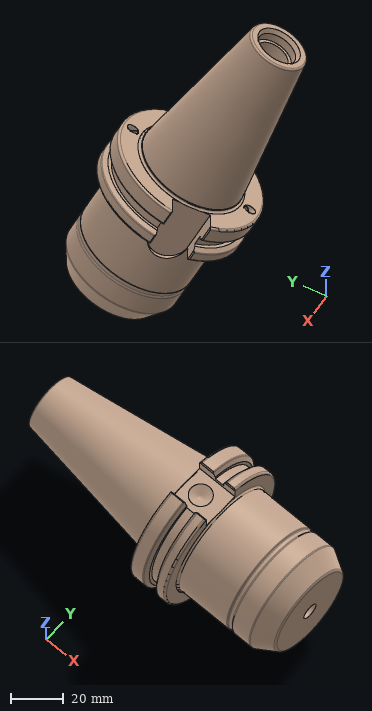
import cadquery as cq
import math

TOTAL_LENGTH = 132.75
TAPER_LENGTH = 68.25
FLANGE_START = 69.25
FLANGE_END = 87.2

GAUGE_RADIUS = 44.45 / 2
TAPER_RATIO = 7 / 24
SMALL_END_RADIUS = GAUGE_RADIUS - TAPER_LENGTH * TAPER_RATIO / 2
SMALL_END_ROUNDING = 0.8
NECK_RADIUS = 43.8 / 2
UNDERCUT_RADIUS = 0.75
UNDERCUT_X = FLANGE_START - 0.45
UNDERCUT_CENTRE_RADIUS = NECK_RADIUS + UNDERCUT_RADIUS

FLANGE_RADIUS = 63.5 / 2
FLANGE_EDGE_FILLET = 0.9
V_GROOVE_CENTRE = 79.35
V_GROOVE_TOP_WIDTH = 6.7
V_GROOVE_FLOOR_WIDTH = 4.2
V_GROOVE_FLOOR_RADIUS = 56.25 / 2
V_RIM_FILLET = 0.5
V_FLANK_ANGLE = 30
V_FLANK_DEPTH = (V_GROOVE_TOP_WIDTH - V_GROOVE_FLOOR_WIDTH) / 2 / math.tan(math.radians(V_FLANK_ANGLE))

BODY_RADIUS = 49.25 / 2
BODY_FILLET = 0.85
RING_GROOVE_RADIUS = 48.25 / 2
RING_GROOVE_CENTRE = 113.75
RING_GROOVE_WIDTH = 3.0
RING_GROOVE_FLANK = 0.75
RING_GROOVE_DEPTH = BODY_RADIUS - RING_GROOVE_RADIUS
RING_GROOVE_ROUNDING = (RING_GROOVE_FLANK**2 + RING_GROOVE_DEPTH**2) / (4 * RING_GROOVE_DEPTH)
NOSE_START = 123.9
NOSE_ANGLE = 30
NOSE_EDGE_ROUNDING = 1.0
NOSE_ROUNDING = 1.2
NOSE_END_RADIUS = BODY_RADIUS - (TOTAL_LENGTH - NOSE_START) * math.tan(math.radians(NOSE_ANGLE))

SLOT_WIDTH = 16.3
UPPER_SLOT_FLOOR = 25.0
LOWER_SLOT_FLOOR = 22.8
SLOT_EDGE_BREAK = 0.5
SLOT_EDGE_HEIGHT = math.sqrt(FLANGE_RADIUS**2 - (SLOT_WIDTH / 2 + SLOT_EDGE_BREAK) ** 2)
SLOT_FLARE_START = SLOT_EDGE_HEIGHT - SLOT_EDGE_BREAK
DIMPLE_DIAMETER = 9.53
DIMPLE_POINT_ANGLE = 118
DIMPLE_X = 77.1

BORE_MOUTH_RADIUS = 18.4 / 2
COUNTERBORE_RADIUS = 16.3 / 2
MOUTH_ANGLE = 30
MOUTH_DEPTH = (BORE_MOUTH_RADIUS - COUNTERBORE_RADIUS) / math.tan(math.radians(MOUTH_ANGLE))
COUNTERBORE_DEPTH = 5.2
BORE_RADIUS = 13.39 / 2
THROUGH_RADIUS = 6.92 / 2
BORE_CONE_ANGLE = 59

PASSAGE_ENTRY_RADIUS = 27.0
PASSAGE_EXIT_RADIUS = 5.4
PASSAGE_TILT = 35
PASSAGE_ROLL = 20
PASSAGE_RADIUS = 3.24 / 2
PASSAGE_MOUTH_RADIUS = 4.0 / 2
PASSAGE_MOUTH_DEPTH = 1.65
PASSAGE_OVERRUN = 5.0
PASSAGE_RUN = (PASSAGE_ENTRY_RADIUS - PASSAGE_EXIT_RADIUS) / math.tan(math.radians(PASSAGE_TILT))
PASSAGE_EXIT_X = FLANGE_START + PASSAGE_RUN

CONE_SLOPE = math.tan(math.radians(BORE_CONE_ANGLE))
BORE_CONE_START = PASSAGE_EXIT_X - (BORE_RADIUS - PASSAGE_EXIT_RADIUS) / CONE_SLOPE
BORE_CONE_END = BORE_CONE_START + (BORE_RADIUS - THROUGH_RADIUS) / CONE_SLOPE


def revolve_about_x(profile):
    return profile.close().revolve(360, (0, 0, 0), (1, 0, 0))


def make_taper():
    taper = revolve_about_x(
        cq.Workplane("XY")
        .lineTo(0, SMALL_END_RADIUS)
        .lineTo(TAPER_LENGTH, GAUGE_RADIUS)
        .lineTo(TAPER_LENGTH, NECK_RADIUS)
        .lineTo(UNDERCUT_X, NECK_RADIUS)
        .radiusArc((UNDERCUT_X + UNDERCUT_RADIUS, UNDERCUT_CENTRE_RADIUS), -UNDERCUT_RADIUS)
        .lineTo(UNDERCUT_X + UNDERCUT_RADIUS, 0)
    )
    return taper.faces("<X").edges().fillet(SMALL_END_ROUNDING)


def make_flange():
    flange = (
        cq.Workplane("YZ", origin=(FLANGE_START, 0, 0))
        .circle(FLANGE_RADIUS)
        .extrude(FLANGE_END - FLANGE_START)
        .edges()
        .fillet(FLANGE_EDGE_FILLET)
    )
    half_top = V_GROOVE_TOP_WIDTH / 2
    half_floor = V_GROOVE_FLOOR_WIDTH / 2
    v_groove = revolve_about_x(
        cq.Workplane("XY")
        .moveTo(V_GROOVE_CENTRE - half_top, FLANGE_RADIUS)
        .lineTo(V_GROOVE_CENTRE - half_floor, FLANGE_RADIUS - V_FLANK_DEPTH)
        .lineTo(V_GROOVE_CENTRE - half_floor, V_GROOVE_FLOOR_RADIUS)
        .lineTo(V_GROOVE_CENTRE + half_floor, V_GROOVE_FLOOR_RADIUS)
        .lineTo(V_GROOVE_CENTRE + half_floor, FLANGE_RADIUS - V_FLANK_DEPTH)
        .lineTo(V_GROOVE_CENTRE + half_top, FLANGE_RADIUS)
    )
    flange = flange.cut(v_groove)
    for side in (-1, 1):
        rim_point = (V_GROOVE_CENTRE + side * half_top, 0, 0)
        rim_edge = cq.selectors.NearestToPointSelector(rim_point)
        flange = flange.edges("%CIRCLE").edges(rim_edge).fillet(V_RIM_FILLET)

    undercut = (
        cq.Workplane("XY")
        .center(UNDERCUT_X, UNDERCUT_CENTRE_RADIUS)
        .circle(UNDERCUT_RADIUS)
        .revolve(360, (0, -UNDERCUT_CENTRE_RADIUS, 0), (1, -UNDERCUT_CENTRE_RADIUS, 0))
    )
    return flange.cut(undercut)


def make_body():
    half_top = RING_GROOVE_WIDTH / 2
    half_floor = half_top - RING_GROOVE_FLANK
    mid_flank = half_top - RING_GROOVE_FLANK / 2
    mid_radius = (BODY_RADIUS + RING_GROOVE_RADIUS) / 2
    body = revolve_about_x(
        cq.Workplane("XY")
        .moveTo(FLANGE_START, 0)
        .lineTo(FLANGE_START, NECK_RADIUS)
        .lineTo(FLANGE_END, NECK_RADIUS)
        .lineTo(FLANGE_END, BODY_RADIUS + BODY_FILLET)
        .radiusArc((FLANGE_END + BODY_FILLET, BODY_RADIUS), -BODY_FILLET)
        .lineTo(RING_GROOVE_CENTRE - half_top, BODY_RADIUS)
        .radiusArc((RING_GROOVE_CENTRE - mid_flank, mid_radius), RING_GROOVE_ROUNDING)
        .radiusArc((RING_GROOVE_CENTRE - half_floor, RING_GROOVE_RADIUS), -RING_GROOVE_ROUNDING)
        .lineTo(RING_GROOVE_CENTRE + half_floor, RING_GROOVE_RADIUS)
        .radiusArc((RING_GROOVE_CENTRE + mid_flank, mid_radius), -RING_GROOVE_ROUNDING)
        .radiusArc((RING_GROOVE_CENTRE + half_top, BODY_RADIUS), RING_GROOVE_ROUNDING)
        .lineTo(NOSE_START, BODY_RADIUS)
        .lineTo(TOTAL_LENGTH, NOSE_END_RADIUS)
        .lineTo(TOTAL_LENGTH, 0)
    )
    body = body.faces(">X").edges().fillet(NOSE_ROUNDING)
    nose_edge = cq.selectors.NearestToPointSelector((NOSE_START, 0, 0))
    return body.edges("%CIRCLE").edges(nose_edge).fillet(NOSE_EDGE_ROUNDING)


def make_drive_slot(floor_height, side):
    """Round-ended slot with 45 degree edge breaks, side +1 for the top and -1 for the bottom."""
    half_width = SLOT_WIDTH / 2
    flare = FLANGE_RADIUS - SLOT_FLARE_START
    channel = (
        cq.Workplane("YZ", origin=(FLANGE_START, 0, 0))
        .moveTo(-half_width, side * floor_height)
        .lineTo(-half_width, side * SLOT_FLARE_START)
        .lineTo(-half_width - flare, side * FLANGE_RADIUS)
        .lineTo(half_width + flare, side * FLANGE_RADIUS)
        .lineTo(half_width, side * SLOT_FLARE_START)
        .lineTo(half_width, side * floor_height)
        .close()
        .extrude(FLANGE_END - FLANGE_START)
    )
    rounded_end = (
        cq.Workplane("XY", origin=(FLANGE_END, 0, side * floor_height))
        .circle(half_width)
        .extrude(side * (FLANGE_RADIUS - floor_height))
    )
    return channel.union(rounded_end)


def make_dimple():
    radius = DIMPLE_DIAMETER / 2
    depth = radius / math.tan(math.radians(DIMPLE_POINT_ANGLE / 2))
    cone = cq.Solid.makeCone(
        radius, 0, depth, cq.Vector(DIMPLE_X, 0, UPPER_SLOT_FLOOR), cq.Vector(0, 0, -1)
    )
    return cq.Workplane(cone)


def make_bore():
    return revolve_about_x(
        cq.Workplane("XY")
        .lineTo(0, BORE_MOUTH_RADIUS)
        .lineTo(MOUTH_DEPTH, COUNTERBORE_RADIUS)
        .lineTo(COUNTERBORE_DEPTH, COUNTERBORE_RADIUS)
        .lineTo(COUNTERBORE_DEPTH, BORE_RADIUS)
        .lineTo(BORE_CONE_START, BORE_RADIUS)
        .lineTo(BORE_CONE_END, THROUGH_RADIUS)
        .lineTo(TOTAL_LENGTH, THROUGH_RADIUS)
        .lineTo(TOTAL_LENGTH, 0)
    )


def make_coolant_passage(roll):
    """Stepped passage that starts on the flange face and descends toward the axis."""
    tilt = math.radians(PASSAGE_TILT)
    direction = cq.Vector(math.cos(tilt), -math.sin(tilt), 0)
    entry = cq.Vector(FLANGE_START, PASSAGE_ENTRY_RADIUS, 0)
    start = entry - direction * PASSAGE_OVERRUN
    exit_distance = PASSAGE_RUN / math.cos(tilt)
    drill = cq.Solid.makeCylinder(PASSAGE_RADIUS, PASSAGE_OVERRUN + exit_distance, start, direction)
    mouth = cq.Solid.makeCylinder(
        PASSAGE_MOUTH_RADIUS, PASSAGE_OVERRUN + PASSAGE_MOUTH_DEPTH, start, direction
    )
    return cq.Workplane(drill).union(cq.Workplane(mouth)).rotate((0, 0, 0), (1, 0, 0), roll)


result = make_taper().union(make_flange()).union(make_body())
result = result.cut(make_drive_slot(UPPER_SLOT_FLOOR, 1))
result = result.cut(make_drive_slot(LOWER_SLOT_FLOOR, -1))
result = result.cut(make_dimple())
result = result.cut(make_bore())
for half_turn in (0, 180):
    result = result.cut(make_coolant_passage(PASSAGE_ROLL + half_turn))